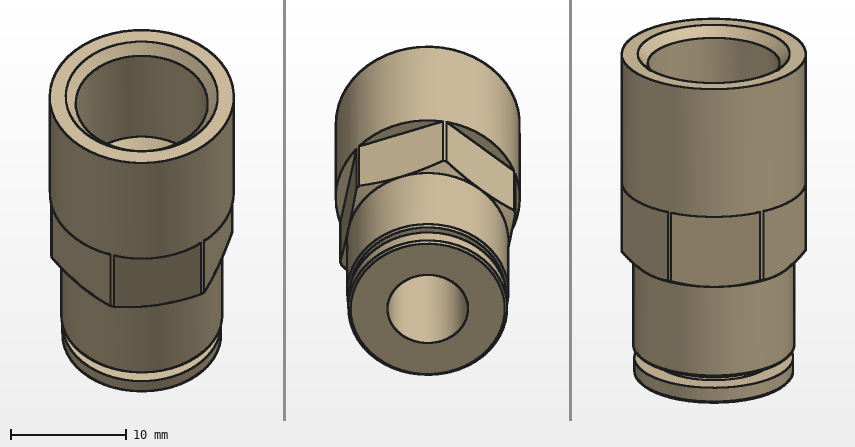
import cadquery as cq
import math

total_height = 30.0
flange_top = 1.5
body_bottom = 2.5
hex_bottom = 11.0
hex_top = 18.0

socket_diameter = 16.0
hex_across_flats = 14.0
body_diameter = 14.0
neck_diameter = 10.0
flange_diameter = 13.8
edge_chamfer = 0.2
neck_flare = 0.18
hex_chamfer_angle = 30.0

through_diameter = 7.0
bore_diameter = 11.45
bore_mouth_diameter = 13.2
bore_depth = 11.0
drill_point_angle = 118.0


def cylinder(diameter, bottom, top):
    """Cylinder on the Z axis between two heights."""
    return cq.Workplane("XY").workplane(offset=bottom).circle(diameter / 2).extrude(top - bottom)


def make_hexagon():
    """Hexagon with flats facing X, blunted corners and a conical lower chamfer."""
    across_corners = hex_across_flats / math.cos(math.radians(30))
    prism = (
        cq.Workplane("XY")
        .workplane(offset=hex_bottom)
        .polygon(6, across_corners)
        .extrude(hex_top - hex_bottom)
        .rotate((0, 0, 0), (0, 0, 1), 30)
    )
    inner_radius = hex_across_flats / 2
    outer_radius = socket_diameter / 2
    chamfer_height = (outer_radius - inner_radius) * math.tan(math.radians(hex_chamfer_angle))
    envelope = (
        cq.Workplane("XZ")
        .moveTo(0, hex_bottom)
        .lineTo(inner_radius, hex_bottom)
        .lineTo(outer_radius, hex_bottom + chamfer_height)
        .lineTo(outer_radius, hex_top)
        .lineTo(0, hex_top)
        .close()
        .revolve(360, (0, 0), (0, 1))
    )
    return prism.intersect(envelope)


def make_bore():
    """Through hole opening by a drill-point cone into a wide bore with a 45 degree mouth."""
    through_radius = through_diameter / 2
    bore_radius = bore_diameter / 2
    mouth_radius = bore_mouth_diameter / 2
    cone_top = total_height - bore_depth
    cone_height = (bore_radius - through_radius) / math.tan(math.radians(drill_point_angle / 2))
    mouth_depth = mouth_radius - bore_radius
    return (
        cq.Workplane("XZ")
        .lineTo(through_radius, 0)
        .lineTo(through_radius, cone_top - cone_height)
        .lineTo(bore_radius, cone_top)
        .lineTo(bore_radius, total_height - mouth_depth)
        .lineTo(mouth_radius, total_height)
        .lineTo(0, total_height)
        .close()
        .revolve(360, (0, 0), (0, 1))
    )


flange = cylinder(flange_diameter, 0, flange_top).faces("<Z").edges().chamfer(edge_chamfer)
neck = cylinder(neck_diameter, flange_top, body_bottom)
neck_base = (
    cq.Workplane("XY")
    .workplane(offset=flange_top)
    .circle(neck_diameter / 2 + neck_flare)
    .workplane(offset=neck_flare)
    .circle(neck_diameter / 2)
    .loft(ruled=True)
)
body = cylinder(body_diameter, body_bottom, hex_bottom).faces("<Z").edges().chamfer(edge_chamfer)
socket = cylinder(socket_diameter, hex_top, total_height)

solid_fitting = flange.union(neck).union(neck_base).union(body).union(make_hexagon()).union(socket)
result = solid_fitting.cut(make_bore())